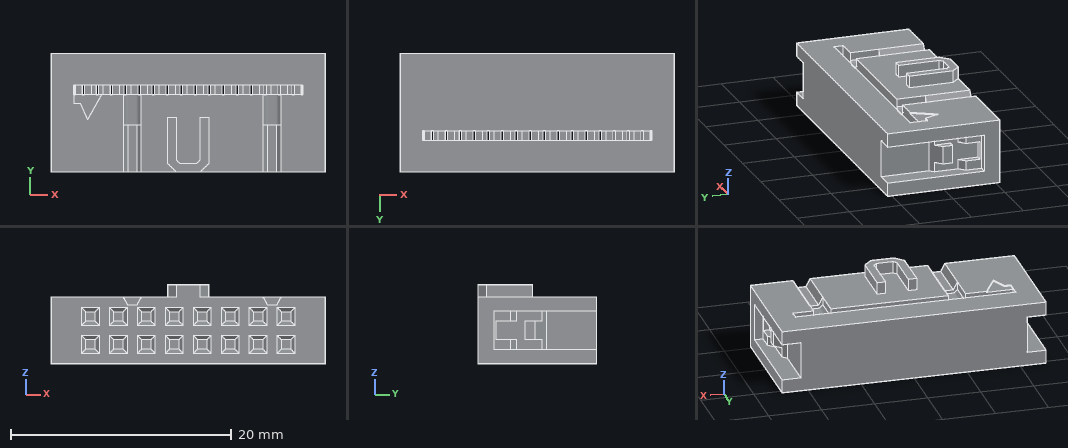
import cadquery as cq
import math


length = 24.9
depth = 10.8
body_height = 6.08
total_height = 7.2

columns = 8
contact_pitch = 2.55
half_pitch = contact_pitch / 2
row_heights = (body_height / 2 - half_pitch, body_height / 2 + half_pitch)
column_xs = [(i - (columns - 1) / 2) * contact_pitch for i in range(columns)]

entry_mouth = 1.62
entry_floor = 0.85
entry_taper = 45
entry_depth = (entry_mouth - entry_floor) / 2 / math.tan(math.radians(entry_taper))

slot_front = 7.05
slot_rear = 7.92
slot_half_length = 10.38
fork_width = 1.5
fork_gap = 0.2
fork_thickness = 0.1
fork_embed = 0.25

recess_height = 3.49
recess_front = 1.5
recess_floor_x = 10.68
latch_block_rear = 6.22
step_height = 0.4
step_front = 3.54
hook_height = 1.7
hook_rise = 1.02
hook_front = 4.28
stop_rise = 0.97
pocket_front = 1.65

groove_xs = (-2 * contact_pitch, 3 * contact_pitch)
groove_top_width = 1.62
groove_floor_width = 0.82
groove_depth = 0.75
channel_front = 4.3
channel_wall = 0.75
channel_chamfer = 0.22
channel_round = 0.3

mark_depth = 0.1
mark_shoulder = (-9.79, 6.22)
mark_tip = (-9.15, 4.78)
mark_right_x = -7.87

key_half_width = 1.87
key_bar = 0.8
key_rear = 4.98
key_outer_chamfer = 0.8
key_inner_chamfer = 0.3


def box(x_range, y_range, z_range):
    """Axis-aligned block between the given limits."""
    (x0, x1), (y0, y1), (z0, z1) = x_range, y_range, z_range
    return cq.Workplane("XY").box(x1 - x0, y1 - y0, z1 - z0, centered=False).translate((x0, y0, z0))


def centred(middle, size):
    """Limits of a span of the given size around its middle."""
    return (middle - size / 2, middle + size / 2)


def end_recess():
    """Recess at the -X end, open to the rear, less the stepped latch standing in it."""
    end_x = -length / 2
    floor_x = -recess_floor_x
    mid_z = body_height / 2

    def layer(profile, height):
        """Plate of the given height, centred on the body's mid-height."""
        return cq.Workplane("XY", origin=(0, 0, mid_z - height / 2)).polyline(profile).close().extrude(height)

    recess = box((end_x, floor_x), (recess_front, depth), centred(mid_z, recess_height))
    step_x = floor_x - step_height
    stop_x = floor_x - stop_rise
    latch_profile = [
        (floor_x, latch_block_rear),
        (step_x, latch_block_rear - step_height),
        (step_x, step_front),
        (stop_x, step_front - (stop_rise - step_height)),
        (stop_x, recess_front),
        (floor_x, recess_front),
    ]
    pocket = box((end_x, step_x), (pocket_front, step_front), centred(mid_z, hook_height))
    hook_x = floor_x - hook_rise
    hook_profile = [
        (floor_x, latch_block_rear),
        (hook_x, latch_block_rear - hook_rise),
        (hook_x, hook_front),
        (floor_x, hook_front),
    ]
    latch = layer(latch_profile, recess_height).cut(pocket).union(layer(hook_profile, hook_height))
    return recess.cut(latch)


def contact_fork(centre_x, row_z):
    """Two flat tines that bridge the cable slot."""
    y_range = (slot_front - fork_embed, slot_rear + fork_embed)
    z_range = centred(row_z, fork_thickness)
    plate = box(centred(centre_x, fork_width), y_range, z_range)
    return plate.cut(box(centred(centre_x, fork_gap), (slot_front, slot_rear), z_range))


def polarising_groove(centre_x):
    """Trapezoidal groove in front of a deeper channel with a rounded floor."""
    half_top = groove_top_width / 2
    half_floor = groove_floor_width / 2
    front = (
        cq.Workplane("XZ", origin=(centre_x, 0, body_height))
        .polyline([(-half_top, 0), (-half_floor, -groove_depth), (half_floor, -groove_depth), (half_top, 0)])
        .close()
        .extrude(-channel_front)
    )
    ramp_x = half_top - channel_chamfer
    ramp_z = -channel_wall - channel_chamfer
    arc_angle = math.radians(45)
    floor_x = ramp_x - channel_round * math.sin(arc_angle)
    floor_z = ramp_z - channel_round * (1 - math.cos(arc_angle))
    mid_x = floor_x + channel_round * math.sin(arc_angle / 2)
    mid_z = floor_z + channel_round * (1 - math.cos(arc_angle / 2))
    channel = (
        cq.Workplane("XZ", origin=(centre_x, channel_front, body_height))
        .moveTo(-half_top, 0)
        .lineTo(-half_top, -channel_wall)
        .lineTo(-ramp_x, ramp_z)
        .threePointArc((-mid_x, mid_z), (-floor_x, floor_z))
        .lineTo(floor_x, floor_z)
        .threePointArc((mid_x, mid_z), (ramp_x, ramp_z))
        .lineTo(half_top, -channel_wall)
        .lineTo(half_top, 0)
        .close()
        .extrude(channel_front - slot_front)
    )
    return front.union(channel)


def contact_entries():
    """Square tapered openings, one for each contact."""
    centres = [(x, z) for x in column_xs for z in row_heights]
    return (
        cq.Workplane("XZ")
        .pushPoints(centres)
        .rect(entry_mouth, entry_mouth)
        .extrude(-entry_depth, taper=entry_taper)
    )


def first_contact_mark():
    """Shallow arrow-shaped recess on the front edge of the cable slot."""
    outline = [
        (-slot_half_length, slot_front),
        (-slot_half_length, mark_shoulder[1]),
        mark_shoulder,
        mark_tip,
        (mark_right_x, slot_front),
    ]
    return cq.Workplane("XY", origin=(0, 0, body_height)).polyline(outline).close().extrude(-mark_depth)


def key():
    """U-shaped key with chamfered corners, rising from the top face."""
    inner = key_half_width - key_bar
    right_half = [
        (key_half_width - key_outer_chamfer, 0),
        (key_half_width, key_outer_chamfer),
        (key_half_width, key_rear),
        (inner, key_rear),
        (inner, key_bar + key_inner_chamfer),
        (inner - key_inner_chamfer, key_bar),
    ]
    left_half = [(-x, y) for x, y in reversed(right_half)]
    return (
        cq.Workplane("XY", origin=(0, 0, body_height))
        .polyline(right_half + left_half)
        .close()
        .extrude(total_height - body_height)
    )


body = box(centred(0, length), (0, depth), (0, body_height))
body = body.cut(box(centred(0, 2 * slot_half_length), (slot_front, slot_rear), (0, body_height)))

recess = end_recess()
body = body.cut(recess).cut(recess.mirror("YZ"))

for groove_x in groove_xs:
    body = body.cut(polarising_groove(groove_x))
body = body.cut(contact_entries()).cut(first_contact_mark())

for column_x in column_xs:
    body = body.union(contact_fork(column_x + half_pitch / 2, row_heights[0]))
    body = body.union(contact_fork(column_x - half_pitch / 2, row_heights[1]))

result = body.union(key())